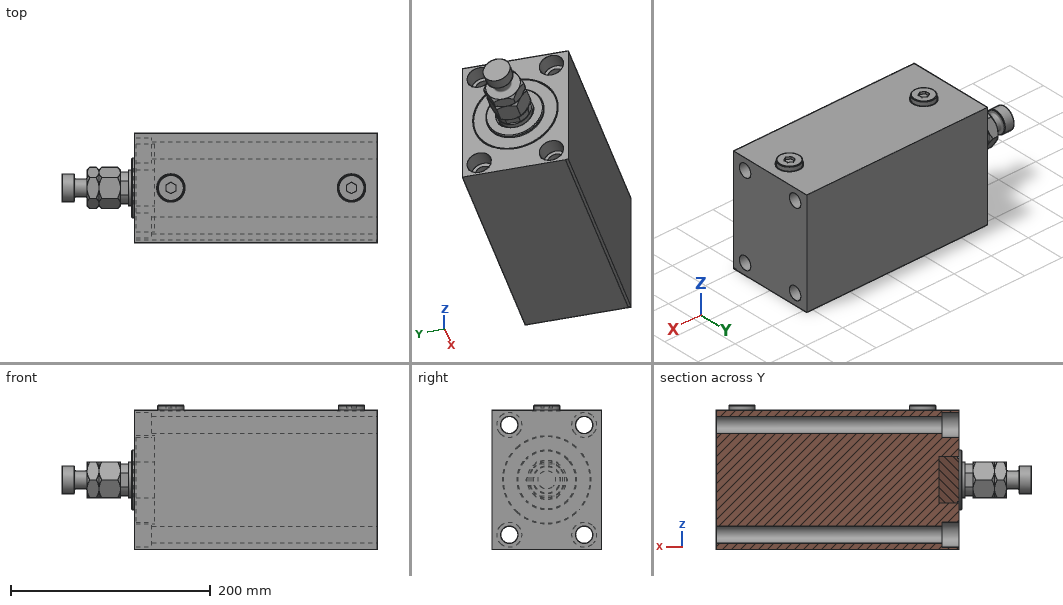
import cadquery as cq
import math


block_length = 243.5
block_width = 110.0
block_height = 140.0
rebate_end_wall = 1.0
rebate_width = 3.0
rebate_height = 0.3
top_z = block_height / 2
bolt_spacing_y = 75.0
bolt_spacing_z = 110.0
bolt_hole_diameter = 17.0
counterbore_diameter = 25.0
counterbore_depth = 17.0

gland_diameter = 88.5
gland_depth = 20.0
gland_gap = 0.75
gland_gap_depth = 1.5
boss_diameter = 60.0
boss_height = 3.0
boss_chamfer = 1.0
wiper_diameter = 39.5
wiper_depth = 2.0

rod_diameter = 36.0
rod_end_diameter = 35.0
rod_flat_width = 32.0
collar_end_x = -6.0
rod_end_x = -14.0

hex_across_flats = 36.0
hex_corner_diameter = hex_across_flats / math.cos(math.pi / 6)
hex_face_diameter = 36.0
hex_chamfer_angle = math.radians(45)
long_hex_length = 21.5
short_hex_length = 12.0
neck_diameter = 18.0
neck_length = 12.5
neck_fillet = 1.5
head_diameter = 28.0
head_length = 12.5
head_chamfer = 0.75

plug_positions_x = (36.5, 217.5)
plug_diameter = 26.5
plug_height = 4.9
plug_chamfer = 0.75
spotface_diameter = 28.5
spotface_depth = 1.0
socket_across_flats = 10.0
socket_depth = 3.0


def rod_cylinder(diameter, start_x, end_x):
    """Cylinder on the rod axis between two X places."""
    return cq.Workplane("YZ", origin=(start_x, 0, 0)).circle(diameter / 2).extrude(end_x - start_x)


def make_block():
    block = cq.Workplane("XY").box(block_length, block_width, block_height, centered=(False, True, True))
    block = (
        block.faces("<X").workplane(centerOption="CenterOfBoundBox")
        .rarray(bolt_spacing_y, bolt_spacing_z, 2, 2)
        .cboreHole(bolt_hole_diameter, counterbore_diameter, counterbore_depth)
    )
    block = block.cut(rod_cylinder(gland_diameter, 0, gland_depth))
    for plug_x in plug_positions_x:
        spotface = (
            cq.Workplane("XY", origin=(plug_x, 0, top_z))
            .circle(spotface_diameter / 2).extrude(-spotface_depth)
        )
        block = block.cut(spotface)
    rebate_length = block_length - rebate_end_wall
    rebate = cq.Workplane("XY").box(rebate_length, rebate_width, rebate_height, centered=False)
    return block.cut(rebate.translate((0, -block_width / 2, -block_height / 2)))


def make_gland():
    gland = rod_cylinder(gland_diameter, gland_gap_depth, gland_depth)
    gland = gland.union(rod_cylinder(gland_diameter - 2 * gland_gap, 0, gland_gap_depth))
    boss = rod_cylinder(boss_diameter, -boss_height, 0).faces("<X").edges().chamfer(boss_chamfer)
    gland = gland.union(boss)
    gland = gland.cut(rod_cylinder(wiper_diameter, -boss_height, wiper_depth - boss_height))
    return gland.cut(rod_cylinder(rod_diameter, -boss_height, gland_depth))


def make_rod():
    """Round rod whose outer end carries four wrench flats."""
    rod = rod_cylinder(rod_diameter, collar_end_x, gland_depth)
    flats_length = collar_end_x - rod_end_x
    flats = (
        cq.Workplane("YZ", origin=(rod_end_x, 0, 0))
        .rect(rod_flat_width, rod_flat_width).extrude(flats_length)
    )
    return rod.union(flats.intersect(rod_cylinder(rod_end_diameter, rod_end_x, collar_end_x)))


def chamfered_hexagon(start_x, length):
    """Hexagon with corners on Y, its corners turned down to a cone at both ends."""
    end_x = start_x + length
    face_radius = hex_face_diameter / 2
    corner_radius = hex_corner_diameter / 2
    cone_length = (corner_radius - face_radius) * math.tan(hex_chamfer_angle)
    turned = (
        cq.Workplane("XY")
        .moveTo(start_x, 0)
        .lineTo(start_x, face_radius)
        .lineTo(start_x + cone_length, corner_radius)
        .lineTo(end_x - cone_length, corner_radius)
        .lineTo(end_x, face_radius)
        .lineTo(end_x, 0)
        .close()
        .revolve(360, (0, 0, 0), (1, 0, 0))
    )
    hexagon = cq.Workplane("YZ", origin=(start_x, 0, 0)).polygon(6, hex_corner_diameter).extrude(length)
    return hexagon.intersect(turned)


def make_neck(start_x, end_x):
    """Neck that flares through a fillet into the part at each end."""
    neck_radius = neck_diameter / 2
    flare_radius = neck_radius + neck_fillet
    arc_inset = neck_fillet * (1 - math.sqrt(0.5))
    return (
        cq.Workplane("XY")
        .moveTo(start_x, 0)
        .lineTo(start_x, flare_radius)
        .threePointArc((start_x + arc_inset, neck_radius + arc_inset), (start_x + neck_fillet, neck_radius))
        .lineTo(end_x - neck_fillet, neck_radius)
        .threePointArc((end_x - arc_inset, neck_radius + arc_inset), (end_x, flare_radius))
        .lineTo(end_x, 0)
        .close()
        .revolve(360, (0, 0, 0), (1, 0, 0))
    )


def make_coupling():
    long_hex_x = rod_end_x - long_hex_length
    short_hex_x = long_hex_x - short_hex_length
    neck_x = short_hex_x - neck_length
    head_x = neck_x - head_length

    head = rod_cylinder(head_diameter, head_x, neck_x).faces(">X").edges().chamfer(head_chamfer)
    coupling = head.union(make_neck(neck_x, short_hex_x))
    coupling = coupling.union(chamfered_hexagon(short_hex_x, short_hex_length))
    return coupling.union(chamfered_hexagon(long_hex_x, long_hex_length))


def make_plug(plug_x):
    """Round plug seated in its spotface, with a hexagon socket whose corners point along Y."""
    plug = (
        cq.Workplane("XY", origin=(plug_x, 0, top_z - spotface_depth))
        .circle(plug_diameter / 2).extrude(spotface_depth + plug_height)
    )
    plug = plug.faces(">Z").edges().chamfer(plug_chamfer)
    socket_corner_diameter = socket_across_flats / math.cos(math.pi / 6)
    socket = (
        cq.Workplane("XY", origin=(plug_x, 0, top_z + plug_height))
        .transformed(rotate=(0, 0, 90))
        .polygon(6, socket_corner_diameter).extrude(-socket_depth)
    )
    return plug.cut(socket)


block = make_block()
gland = make_gland()
rod = make_rod()
coupling = make_coupling()
plugs = [make_plug(plug_x) for plug_x in plug_positions_x]

result = cq.Compound.makeCompound(
    [block.val(), gland.val(), rod.val(), coupling.val(), *[plug.val() for plug in plugs]]
)